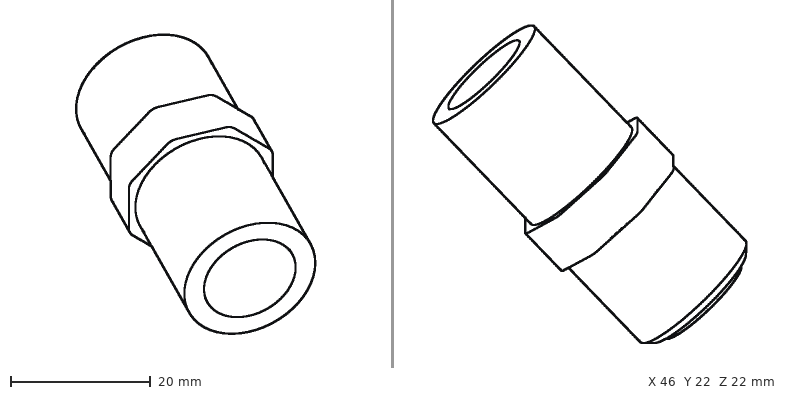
import cadquery as cq
import math

length = 46.0
lip_length = 0.87
collar_start = 17.95
collar_width = 7.6

bore_diameter = 14.0
lip_diameter = 15.3
tail_diameter = 20.0
body_diameter = 20.98
across_flats = 22.0
collar_corner_radius = 2.02
body_chamfer = 1.15

collar_sides = 8
across_corners = across_flats / math.cos(math.pi / collar_sides)
left_end = -length / 2
body_left = left_end + lip_length
collar_left = left_end + collar_start
collar_right = collar_left + collar_width


def cylinder(diameter, start, end):
    """Solid cylinder on the X axis between two stations."""
    return cq.Workplane("YZ", origin=(start, 0, 0)).circle(diameter / 2).extrude(end - start)


def octagonal_collar():
    """Octagon with rounded corners and flats facing Y and Z."""
    collar = (
        cq.Workplane("YZ", origin=(collar_left, 0, 0))
        .transformed(rotate=(0, 0, 180 / collar_sides))
        .polygon(collar_sides, across_corners)
        .extrude(collar_width)
    )
    return collar.edges("|X").fillet(collar_corner_radius)


lip = cylinder(lip_diameter, left_end, collar_left)
body = cylinder(body_diameter, body_left, collar_left).faces("<X").chamfer(body_chamfer)
tail = cylinder(tail_diameter, collar_right, length / 2)
bore = cylinder(bore_diameter, left_end, length / 2)

result = octagonal_collar().union(body).union(lip).union(tail).cut(bore)